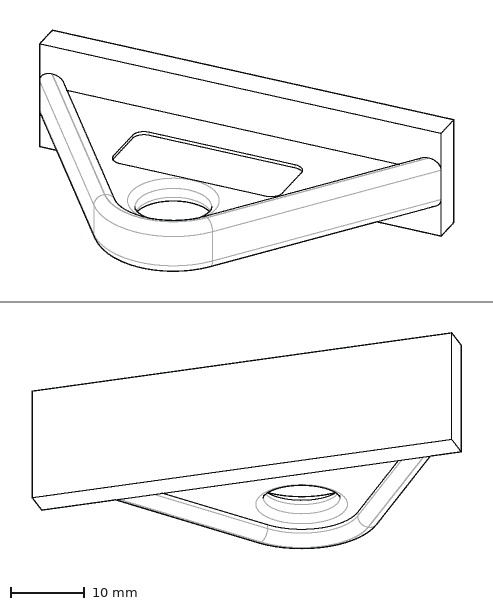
import cadquery as cq
import math

plate_length = 60.0
plate_thickness = 4.2
plate_height = 16.0

total_depth = 37.15
nose_radius = 11.05
nose_y = nose_radius - total_depth
rim_height = 7.5
rim_width = 3.0
rim_round = 1.47
web_thickness = 3.4

eye_radius = 5.2
eye_round = 1.0

recess_length = 25.2
recess_width = 9.6
recess_corner_radius = 1.7
recess_depth = 0.5
recess_y = -14.95


def lug_outline(radius):
    """Closed profile with flanks parallel to the lug flanks and a nose of the given radius."""
    corner_x = plate_length / 2
    corner_distance = math.hypot(corner_x, nose_y + plate_thickness)
    corner_angle = math.atan2(-plate_thickness - nose_y, corner_x)
    tangent_angle = corner_angle - math.acos(nose_radius / corner_distance)
    touch_x = radius * math.cos(tangent_angle)
    touch_y = nose_y + radius * math.sin(tangent_angle)
    root_x = touch_x - (-plate_thickness - touch_y) * math.tan(tangent_angle)
    return (
        cq.Workplane("XY")
        .moveTo(-root_x, -plate_thickness)
        .lineTo(-touch_x, touch_y)
        .threePointArc((0, nose_y - radius), (touch_x, touch_y))
        .lineTo(root_x, -plate_thickness)
        .close()
    )


def make_plate():
    return cq.Workplane("XY").box(plate_length, plate_thickness, plate_height).translate(
        (0, -plate_thickness / 2, 0)
    )


def make_rim():
    outer = lug_outline(nose_radius).extrude(rim_height / 2, both=True)
    inner = lug_outline(nose_radius - rim_width).extrude(rim_height / 2, both=True)
    return outer.cut(inner).edges("not(|Z or |X)").fillet(rim_round)


def make_web():
    web = lug_outline(nose_radius - rim_width / 2).extrude(web_thickness / 2, both=True)
    eye = cq.Workplane("XY").center(0, nose_y).circle(eye_radius).extrude(web_thickness, both=True)
    eye_rims = cq.selectors.RadiusNthSelector(0)
    return web.cut(eye).edges("%CIRCLE").edges(eye_rims).fillet(eye_round)


def make_recess():
    return (
        cq.Workplane("XY", origin=(0, recess_y, web_thickness / 2 - recess_depth))
        .rect(recess_length, recess_width)
        .extrude(rim_height)
        .edges("|Z")
        .fillet(recess_corner_radius)
    )


result = make_plate().union(make_rim()).union(make_web()).cut(make_recess())